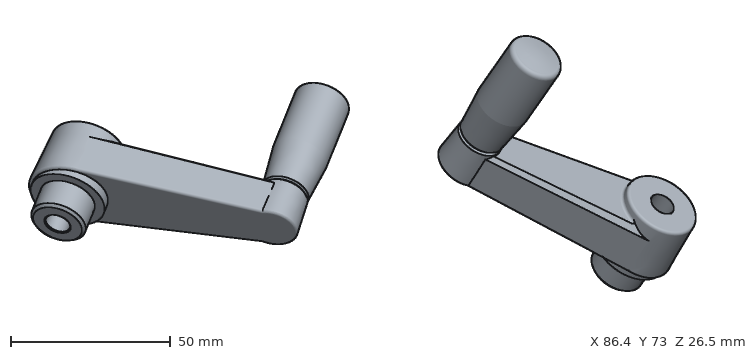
import cadquery as cq
import math


draft = 0.06
front_slope = 0.099
front_height = 12.4
front_fillet = 0.95
blank_start = 8.6

hub_radius = 13.3
hub_top = 32.55
hub_fillet = 1.0
root_fillet = 0.9
flange_radius = 12.2
spigot_radius = 18.0 / 2
spigot_length = 10.2
spigot_chamfer = 0.95
bore_diameter = 8.0
bore_chamfer = 0.35

crank_length = 64.1
boss_radius = 7.7
boss_top = 32.6

arm_start = 2.0
arm_end = 61.5
start_half_width = 13.1
end_half_width = 8.0
start_shoulder = 26.85
end_shoulder = 31.0
start_bevel_drop = 1.7
end_bevel_drop = 1.3
bevel_spread = 1.2

neck_radius = 10.0 / 2
grip_gap = 0.7
grip_bottom = boss_top + grip_gap
grip_bottom_radius = 7.6
grip_bottom_chamfer = 0.6
grip_radius = 18.0 / 2
grip_taper_end = 48.35
grip_straight_end = 70.6
grip_corner = 1.6
grip_top = 73.0
dome_height = 0.8


def front_face_height(x):
    """Height of the sloping front face at position x."""
    return front_height + front_slope * x


def cylinder(x, radius, bottom, top):
    """Cylinder along Y, centred at x, between two heights."""
    plane = cq.Workplane("XZ", origin=(x, bottom, 0))
    return plane.circle(radius).extrude(bottom - top)


def drafted_cylinder(x, bottom_radius, bottom, top):
    """Cone along Y that narrows by the casting draft; its seam lies on the -X side."""
    top_radius = bottom_radius - draft * (top - bottom)
    profile = [(0, bottom), (-bottom_radius, bottom), (-top_radius, top), (0, top)]
    cone = cq.Workplane("XY").polyline(profile).close().revolve(360, (0, 0), (0, 1))
    return cone.translate((x, 0, 0))


def arm_section(x, half_width, shoulder, bevel_drop):
    """Corners of the arm outline in the YZ plane, symmetric about Z = 0."""
    base = front_face_height(x)
    shoulder_width = half_width - draft * (shoulder - base)
    half = [
        (blank_start, half_width + draft * (base - blank_start)),
        (shoulder, shoulder_width),
        (shoulder + bevel_drop, shoulder_width - bevel_spread * bevel_drop),
    ]
    outline = half + [(y, -z) for y, z in reversed(half)]
    return [cq.Vector(x, y, z) for y, z in outline]


def flat_face(corners):
    """Planar face bounded by straight edges between the corners."""
    return cq.Face.makeFromWires(cq.Wire.makePolygon(corners, close=True))


def make_arm():
    """Flat-sided arm joining its section near the hub to its section near the boss."""
    start = arm_section(arm_start, start_half_width, start_shoulder, start_bevel_drop)
    end = arm_section(arm_end, end_half_width, end_shoulder, end_bevel_drop)
    faces = [flat_face(start), flat_face(end)]
    for i in range(len(start)):
        faces.append(flat_face([start[i - 1], start[i], end[i], end[i - 1]]))
    return cq.Workplane(cq.Solid.makeSolid(cq.Shell.makeShell(faces)))


def make_casting():
    """Hub, boss and arm trimmed to the front face, with its outline rounded."""
    hub_blank_radius = hub_radius + draft * (front_height - blank_start)
    boss_blank_radius = boss_radius + draft * (boss_top - blank_start)
    hub = drafted_cylinder(0, hub_blank_radius, blank_start, hub_top)
    hub = hub.rotate((0, 0, 0), (0, 1, 0), 180)
    hub = hub.faces(">Y").edges().fillet(hub_fillet)
    boss = drafted_cylinder(crank_length, boss_blank_radius, blank_start, boss_top)
    body = hub.union(make_arm())
    root_height = start_shoulder + start_bevel_drop
    root_zone = cq.selectors.BoxSelector(
        (0, root_height, -hub_radius), (hub_radius, root_height + 2 * root_fillet, hub_radius)
    )
    body = body.edges(root_zone).fillet(root_fillet)
    body = body.union(boss)

    left, right = -2 * hub_radius, crank_length + 2 * boss_radius
    trim_outline = [
        (left, front_face_height(left)),
        (right, front_face_height(right)),
        (right, -hub_top),
        (left, -hub_top),
    ]
    trim = cq.Workplane("XY").polyline(trim_outline).close().extrude(2 * hub_radius, both=True)
    body = body.cut(trim)
    front_normal = cq.Vector(front_slope, -1, 0)
    return body.faces(cq.selectors.ParallelDirSelector(front_normal, 1e-3)).edges().fillet(front_fillet)


def make_grip():
    """Neck and tapered grip with a rounded rim and a shallow domed end."""
    rim_top = grip_top - dome_height
    rim_radius = grip_radius - grip_corner
    corner_offset = grip_corner * math.sqrt(0.5)
    corner_height = (rim_top - grip_straight_end) * math.sqrt(0.5)
    dome_radius = (rim_radius**2 + dome_height**2) / (2 * dome_height)
    dome_mid = rim_radius / 2
    dome_mid_height = grip_top - dome_radius + math.sqrt(dome_radius**2 - dome_mid**2)
    profile = (
        cq.Workplane("XY")
        .moveTo(0, grip_bottom)
        .lineTo(grip_bottom_radius - grip_bottom_chamfer, grip_bottom)
        .lineTo(grip_bottom_radius, grip_bottom + grip_bottom_chamfer)
        .lineTo(grip_radius, grip_taper_end)
        .lineTo(grip_radius, grip_straight_end)
        .threePointArc((rim_radius + corner_offset, grip_straight_end + corner_height), (rim_radius, rim_top))
        .threePointArc((dome_mid, dome_mid_height), (0, grip_top))
        .close()
    )
    grip = profile.revolve(360, (0, 0), (0, 1)).translate((crank_length, 0, 0))
    return grip.union(cylinder(crank_length, neck_radius, boss_top, grip_bottom))


casting = make_casting()
flange = cylinder(0, flange_radius, spigot_length, front_face_height(flange_radius) + front_fillet)
spigot = cylinder(0, spigot_radius, 0, spigot_length).faces("<Y").edges().chamfer(spigot_chamfer)
bore = cylinder(0, bore_diameter / 2, 0, hub_top)

crank = casting.union(flange).union(spigot).union(make_grip()).cut(bore)
result = crank.faces("<Y").edges(cq.selectors.RadiusNthSelector(0)).chamfer(bore_chamfer)